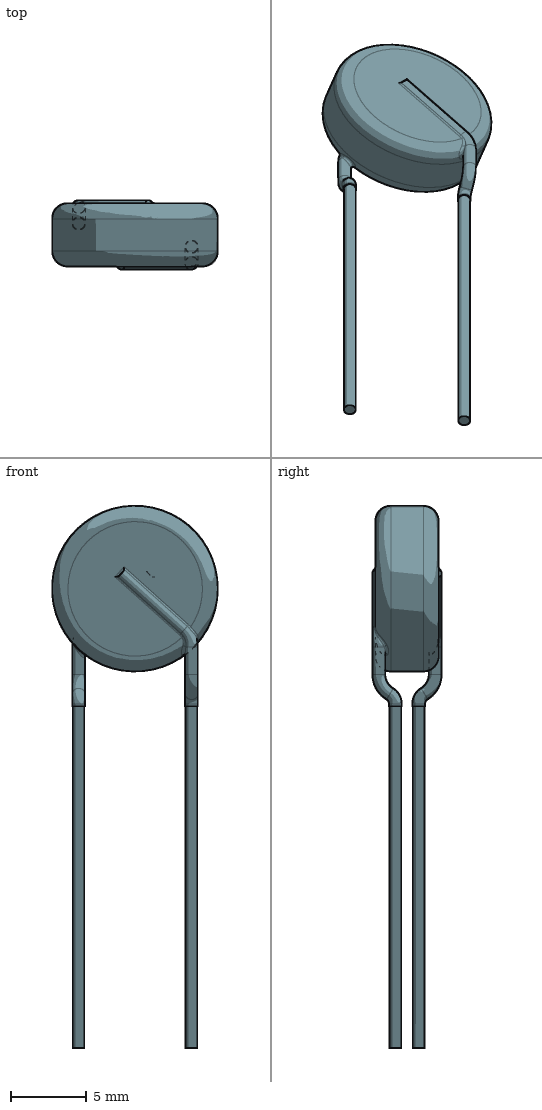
import cadquery as cq
import math

DISC_DIAMETER = 11.0
DISC_THICKNESS = 4.2
DISC_EDGE_RADIUS = 1.05

OVERALL_WIDTH = 4.6
OVERALL_HEIGHT = 36.0
LEAD_PITCH = 7.5
COATED_DIAMETER = 0.85
WIRE_DIAMETER = 0.8
WIRE_ROW_SPACING = 1.55
COATING_END_Z = -7.8

SLANT_ANGLE = 42.0
SLANT_TIP_X = -0.9
SLANT_TIP_Z = 1.0
SLANT_BEND_RADIUS = 1.5

MENISCUS_RADIUS = 0.18
CONTACT_TOLERANCE = 0.0005

CRIMP_TOP_Z = -5.7
CRIMP_UPPER_RADIUS = 1.5
CRIMP_LOWER_RADIUS = 0.8

lead_x = LEAD_PITCH / 2
face_y = -(OVERALL_WIDTH - COATED_DIAMETER) / 2
wire_y = -WIRE_ROW_SPACING / 2
wire_bottom_z = DISC_DIAMETER / 2 - OVERALL_HEIGHT


def make_disc():
    disc = (
        cq.Workplane("XZ", origin=(0, DISC_THICKNESS / 2, 0))
        .circle(DISC_DIAMETER / 2)
        .extrude(DISC_THICKNESS)
    )
    return disc.edges().fillet(DISC_EDGE_RADIUS)


def lead_centreline():
    """Path of the front lead's coated stretch, from the slanted tip down to the end of the coating."""
    slant = math.radians(SLANT_ANGLE)
    slant_direction = cq.Vector(math.cos(slant), 0, -math.sin(slant))
    down = cq.Vector(0, 0, -1)

    tip = cq.Vector(SLANT_TIP_X, face_y, SLANT_TIP_Z)
    corner_z = SLANT_TIP_Z - (lead_x - SLANT_TIP_X) * math.tan(slant)
    corner = cq.Vector(lead_x, face_y, corner_z)
    corner_setback = SLANT_BEND_RADIUS * math.tan((math.pi / 2 - slant) / 2)
    slant_end = corner - slant_direction * corner_setback
    upright_top = corner + down * corner_setback

    crimp_offset = wire_y - face_y
    crimp_angle = math.acos(1 - crimp_offset / (CRIMP_UPPER_RADIUS + CRIMP_LOWER_RADIUS))
    crimp_direction = cq.Vector(0, math.sin(crimp_angle), -math.cos(crimp_angle))
    crimp_joint_y = face_y + CRIMP_UPPER_RADIUS * (1 - math.cos(crimp_angle))
    crimp_joint_z = CRIMP_TOP_Z - CRIMP_UPPER_RADIUS * math.sin(crimp_angle)
    crimp_end_z = crimp_joint_z - CRIMP_LOWER_RADIUS * math.sin(crimp_angle)
    crimp_top = cq.Vector(lead_x, face_y, CRIMP_TOP_Z)
    crimp_joint = cq.Vector(lead_x, crimp_joint_y, crimp_joint_z)
    crimp_end = cq.Vector(lead_x, wire_y, crimp_end_z)
    coating_end = cq.Vector(lead_x, wire_y, COATING_END_Z)

    edges = [
        cq.Edge.makeLine(tip, slant_end),
        cq.Edge.makeTangentArc(slant_end, slant_direction, upright_top),
        cq.Edge.makeLine(upright_top, crimp_top),
        cq.Edge.makeTangentArc(crimp_top, down, crimp_joint),
        cq.Edge.makeTangentArc(crimp_joint, crimp_direction, crimp_end),
        cq.Edge.makeLine(crimp_end, coating_end),
    ]
    return cq.Wire.assembleEdges(edges)


def make_lead():
    """Front lead: thick coated stretch swept along its centreline, then straight bare wire."""
    path = lead_centreline()
    tip_plane = cq.Plane(origin=path.startPoint(), normal=path.tangentAt(0))
    coated = cq.Workplane(tip_plane).circle(COATED_DIAMETER / 2).sweep(path)

    wire = (
        cq.Workplane("XY", origin=(lead_x, wire_y, wire_bottom_z))
        .circle(WIRE_DIAMETER / 2)
        .extrude(COATING_END_Z - wire_bottom_z)
    )
    return coated.union(wire)


def contact_edges(body, disc, leads):
    """Edges of the joined body that lie on both the disc's surface and a lead's surface."""
    surfaces = [part.Shells()[0] for part in (disc, *leads)]

    def touches(edge, surface):
        midpoint = cq.Vertex.makeVertex(*edge.positionAt(0.5).toTuple())
        return surface.distance(midpoint) < CONTACT_TOLERANCE

    disc_surface, *lead_surfaces = surfaces
    return [
        edge
        for edge in body.Edges()
        if touches(edge, disc_surface) and any(touches(edge, lead) for lead in lead_surfaces)
    ]


disc = make_disc()
front_lead = make_lead()
back_lead = front_lead.rotate((0, 0, 0), (0, 0, 1), 180)
joined = disc.union(front_lead).union(back_lead)

meniscus_edges = contact_edges(joined.val(), disc.val(), [front_lead.val(), back_lead.val()])
result = joined.newObject(meniscus_edges).fillet(MENISCUS_RADIUS)